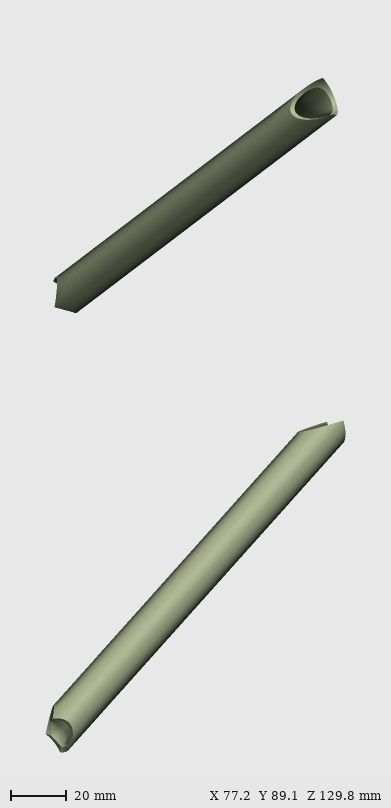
import cadquery as cq


slope_x = 0.53
slope_y = 0.67
axis_point = cq.Vector(-0.5, -0.8, 0)
axis = cq.Vector(slope_x, slope_y, 1).normalized()

outer_radius = 7.4
wall = 1.4
blank_half_length = 103.8

top_joint = 81.0
bottom_joint = -83.0
top_neighbour = cq.Vector(0, 1, 0)
bottom_neighbours = [
    cq.Vector(0.99, 0, -0.15),
    cq.Vector(-0.16, 0.43, -0.9),
]
neighbour_half_length = 39


def rod(middle, direction, radius, half_length):
    """Round bar centred on a point and running along a direction."""
    unit = direction.normalized()
    start = middle - unit * half_length
    return cq.Workplane(obj=cq.Solid.makeCylinder(radius, 2 * half_length, start, unit))


def cope(tube, station, neighbour):
    """Saddle cut that seats the tube on a neighbour of the same diameter."""
    joint = axis_point + axis * station
    return tube.cut(rod(joint, neighbour, outer_radius, neighbour_half_length))


def distance_from_middle(solid):
    return (solid.Center() - axis_point).Length


bore_radius = outer_radius - wall
tube = rod(axis_point, axis, outer_radius, blank_half_length)
tube = tube.cut(rod(axis_point, axis, bore_radius, blank_half_length))

tube = cope(tube, top_joint, top_neighbour)
for neighbour in bottom_neighbours:
    tube = cope(tube, bottom_joint, neighbour)

result = cq.Workplane(obj=min(tube.solids().vals(), key=distance_from_middle))